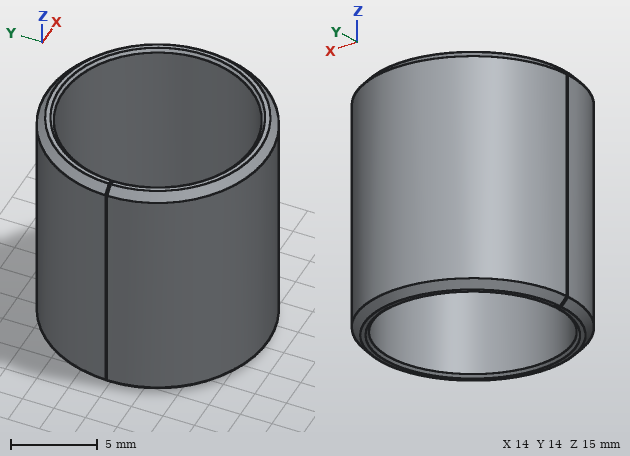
import cadquery as cq

length = 15.0
outer_diameter = 14.0
inner_diameter = 12.0
outer_chamfer = 0.5
inner_chamfer = 0.2
joint_angle = 1.0

outer_radius = outer_diameter / 2
inner_radius = inner_diameter / 2
half_length = length / 2

outer_end_radius = outer_radius - outer_chamfer
inner_end_radius = inner_radius + inner_chamfer
outer_bevel_z = half_length - outer_chamfer
inner_bevel_z = half_length - inner_chamfer
wall_section = [
    (-inner_radius, -inner_bevel_z),
    (-inner_end_radius, -half_length),
    (-outer_end_radius, -half_length),
    (-outer_radius, -outer_bevel_z),
    (-outer_radius, outer_bevel_z),
    (-outer_end_radius, half_length),
    (-inner_end_radius, half_length),
    (-inner_radius, inner_bevel_z),
]

result = (
    cq.Workplane("XZ")
    .polyline(wall_section)
    .close()
    .revolve(360 - joint_angle, (0, 0), (0, 1))
)